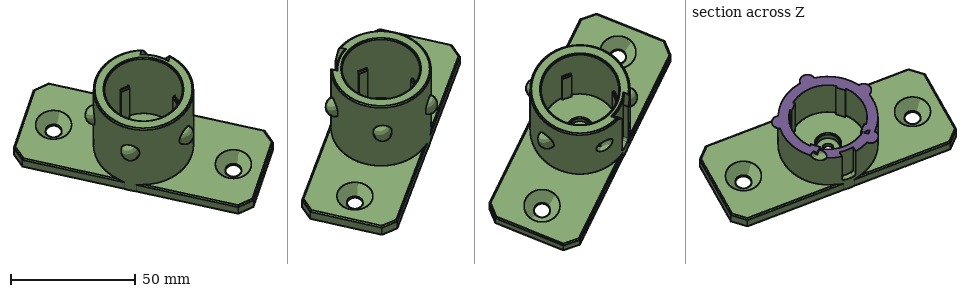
import cadquery as cq
import math

plate_length = 100.0
plate_width = 40.0
plate_height = 5.0
plate_corner = 5.0
edge_chamfer = 0.6

tube_height = 41.9
tube_radius = 40.3 / 2
bore_radius = 31.3 / 2
bore_chamfer = 0.5
bore_floor = 5.0

screw_spacing = 75.0
screw_diameter = 6.5
countersink_diameter = 14.5
countersink_angle = 90
center_hole_diameter = 4.5
center_recess_diameter = 9.8
center_recess_depth = 3.0
center_recess_chamfer = 0.5

station_count = 5
ball_station_angle = 270
ball_level = 26.0
ball_center_radius = 19.7
ball_half_width = 3.8
ball_half_height = 4.3

groove_floor = 6.8
groove_half_width = 2.95
groove_mouth_half_width = 5.9
groove_flare_height = 5.0
groove_back_radius = 17.9
groove_floor_fillet = 1.2
groove_back_chamfer = 0.5

pad_count = 4
pad_width = 4.0
pad_face_radius = 14.7
pad_chamfer_height = 0.8
pad_chamfer_depth = 0.5
pad_top = 25.0


def make_plate():
    plate = cq.Workplane("XY").box(plate_length, plate_width, plate_height, centered=(True, True, False))
    plate = plate.edges("|Z").chamfer(plate_corner)
    plate = plate.faces(">Z").edges().chamfer(edge_chamfer)
    return (
        plate.faces(">Z").workplane()
        .pushPoints([(-screw_spacing / 2, 0), (screw_spacing / 2, 0)])
        .cskHole(screw_diameter, countersink_diameter, countersink_angle)
    )


def make_tube():
    tube = cq.Workplane("XY").circle(tube_radius).extrude(tube_height)
    return tube.faces(">Z").chamfer(edge_chamfer)


def make_bore():
    bore = cq.Workplane("XY", origin=(0, 0, bore_floor)).circle(bore_radius).extrude(tube_height - bore_floor)
    lead_in = (
        cq.Workplane("XY", origin=(0, 0, tube_height)).circle(bore_radius + bore_chamfer)
        .extrude(-2 * bore_chamfer, taper=45)
    )
    return bore.union(lead_in)


def make_center_hole():
    recess = (
        cq.Workplane("XY", origin=(0, 0, bore_floor)).circle(center_recess_diameter / 2)
        .extrude(-center_recess_depth)
    )
    recess_lead_in = (
        cq.Workplane("XY", origin=(0, 0, bore_floor))
        .circle(center_recess_diameter / 2 + center_recess_chamfer)
        .extrude(-2 * center_recess_chamfer, taper=45)
    )
    hole = cq.Workplane("XY").circle(center_hole_diameter / 2).extrude(bore_floor)
    return recess.union(recess_lead_in).union(hole)


def make_ellipsoid(angle):
    ellipsoid = (
        cq.Workplane("XZ")
        .ellipseArc(ball_half_width, ball_half_height, -90, 90, startAtCurrent=False)
        .close().revolve(360, (0, 0, 0), (0, 1, 0))
    )
    direction = math.radians(angle)
    return ellipsoid.translate(
        (ball_center_radius * math.cos(direction), ball_center_radius * math.sin(direction), ball_level)
    )


def make_groove():
    flare_bottom = tube_height - groove_flare_height
    channel = (
        cq.Workplane("XZ")
        .polyline([
            (-groove_half_width, groove_floor),
            (groove_half_width, groove_floor),
            (groove_half_width, flare_bottom),
            (groove_mouth_half_width, tube_height),
            (-groove_mouth_half_width, tube_height),
            (-groove_half_width, flare_bottom),
        ])
        .close().extrude(-plate_width)
    )
    channel = channel.faces("<Z").edges("|Y").fillet(groove_floor_fillet)
    core = cq.Workplane("XY").circle(groove_back_radius).extrude(tube_height)
    return channel.cut(core.faces(">Z").chamfer(groove_back_chamfer))


def make_pad(angle):
    pad_depth = (bore_radius + tube_radius) / 2 - pad_face_radius
    pad_height = pad_top - bore_floor
    pad = cq.Workplane("XY").box(pad_depth, pad_width, pad_height, centered=(False, True, False))
    pad = pad.cut(
        cq.Workplane("XZ", origin=(0, -pad_width / 2, 0))
        .polyline([
            (0, pad_height),
            (pad_chamfer_depth, pad_height),
            (0, pad_height - pad_chamfer_height),
        ])
        .close().extrude(-pad_width)
    )
    return pad.translate((pad_face_radius, 0, bore_floor)).rotate((0, 0, 0), (0, 0, 1), angle)


result = make_plate().union(make_tube()).cut(make_bore()).cut(make_center_hole()).cut(make_groove())

for station in range(station_count):
    station_angle = ball_station_angle + station * 360 / station_count
    ellipsoid = make_ellipsoid(station_angle)
    if station == 0:
        result = result.union(ellipsoid)
    else:
        result = result.cut(ellipsoid)

for pad_index in range(pad_count):
    result = result.union(make_pad((pad_index + 0.5) * 360 / pad_count))